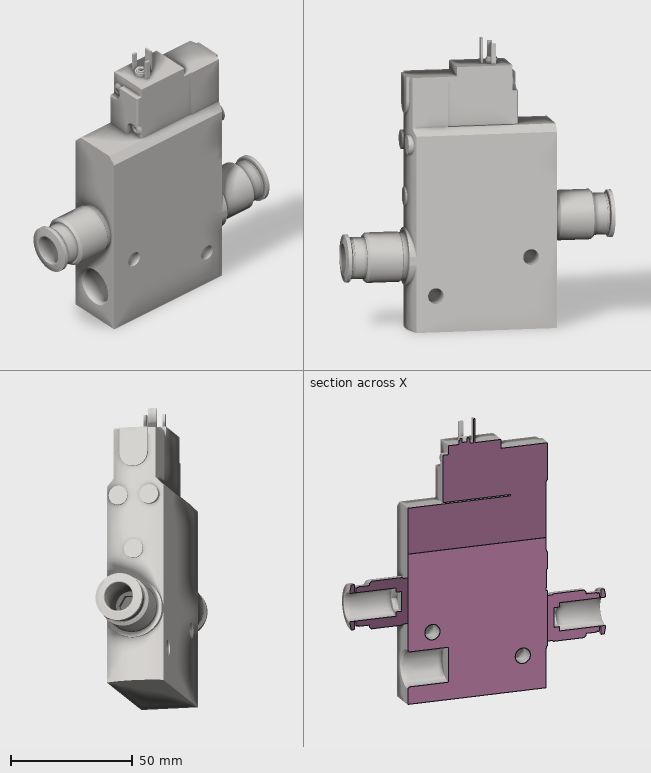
import cadquery as cq
import math


WIDTH = 24.0
BLOCK_TOP = 85.2
JOINT_HEIGHT = 65.3
SHOULDER_CHAMFER = 3.0
BACK_CORNER_Y = 59.2
BACK_CROWN_Y = 61.5
BACK_PAD_Y = 62.0

PORT_PITCH = 15.0
OPEN_PORT_Z = 15.2
BACK_PORT_Z = OPEN_PORT_Z + PORT_PITCH
FRONT_PORT_Z = BACK_PORT_Z + PORT_PITCH
PORT_BORE = 15.0
PORT_MOUTH = 16.6
PORT_DEPTH = 18.1
MOUNT_HOLE = 6.5
MOUNT_HOLES_YZ = [(11.0, BACK_PORT_Z), (51.0, OPEN_PORT_Z)]

BOSS_DIAMETER = 24.2
DISC_DIAMETER = 8.0
LOWER_DISC_Z = 55.3
UPPER_DISC_Z = 78.0
UPPER_DISC_X = 6.5
TAB_WIDTH = 11.8
PAD_ROOT_Y = 57.8

PILOT_TOP = 106.3
PILOT_FRONT_Y = 45.3
PILOT_WIDTH = WIDTH - 2 * SHOULDER_CHAMFER
SOLENOID_WIDTH = 17.4
SOLENOID_GAP = 0.4
SOLENOID_BOTTOM = BLOCK_TOP + SOLENOID_GAP
SOLENOID_MIDDLE = (SOLENOID_BOTTOM + PILOT_TOP) / 2
SOLENOID_BACK_Y = 41.3
SOLENOID_FRONT_Y = 18.1
SOLENOID_TOP = 110.1
PLATE_FRONT_Y = 15.5
PLATE_CHAMFER = 0.6

SCREW_X = 5.7
SCREW_RISE = 6.7
SCREW_RECESS = 6.5
SCREW_HEAD = 5.9
SCREW_HEAD_HEIGHT = 1.0
SCREW_TOP = 2.5
SCREW_SOCKET = 2.0
SCREW_SOCKET_DEPTH = 0.5
DOME_MIDDLE_RADIUS = 2.4
DOME_MIDDLE_HEIGHT = 0.6

OVERALL_HEIGHT = 120.5
CONTACT_TOP = 118.6
CONTACT_X = 4.0
CONTACT_THICKNESS = 1.1
CONTACT_WIDTH = 1.9
CONTACT_Y = 25.2
EARTH_PIN_WIDTH = 3.5
EARTH_PIN_THICKNESS = 0.8
EARTH_PIN_Y = 29.4
POST_COLLAR = 5.1
POST_COLLAR_TOP = 112.0
POST_RING = 4.1
POST_TOP = 112.7
POST_BORE = 2.0
POST_BORE_MOUTH = 2.5
POST_BORE_DEPTH = 1.8

FITTING_LENGTH = 25.7
NECK_DIAMETER = 20.0
NECK_LENGTH = 1.9
SLEEVE_DIAMETER = 20.8
SLEEVE_END = 17.0
SLEEVE_END_DIAMETER = 18.9
SLEEVE_BEVEL = (SLEEVE_DIAMETER - SLEEVE_END_DIAMETER) / 2
COLLET_DIAMETER = 17.4
COLLET_END = 22.9
SERRATION_DIAMETER = 16.6
SERRATION_WIDTH = 0.2
SERRATION_COUNT = 2
GROOVE_DIAMETER = 13.4
RELEASE_RING_DIAMETER = 19.8
RELEASE_RING_START = 23.5
RELEASE_RING_RIM = 25.1
RELEASE_RING_FACE = 13.4
TUBE_MOUTH = 12.5
TUBE_BORE = 12
TUBE_DEPTH = 20.5
HEX_ACROSS_FLATS = 8.3
HEX_DEPTH = 2.4


def box(x_range, y_range, z_range):
    """A box between the given limits along each axis."""
    sizes = [high - low for low, high in (x_range, y_range, z_range)]
    corner = cq.Vector(x_range[0], y_range[0], z_range[0])
    return cq.Workplane(cq.Solid.makeBox(*sizes, corner))


def centred_box(width, y_range, z_range):
    return box((-width / 2, width / 2), y_range, z_range)


def y_cylinder(diameter, x, z, y_start, y_end):
    """A cylinder along +Y from y_start to y_end."""
    base = cq.Vector(x, y_start, z)
    return cq.Workplane(cq.Solid.makeCylinder(diameter / 2, y_end - y_start, base, cq.Vector(0, 1, 0)))


def bulged_prism(bottom, top):
    """The block's plan, straight at the front and bulged at the back, raised from bottom to top."""
    half = WIDTH / 2
    return (
        cq.Workplane("XY", origin=(0, 0, bottom))
        .moveTo(-half, 0)
        .lineTo(half, 0)
        .lineTo(half, BACK_CORNER_Y)
        .threePointArc((0, BACK_CROWN_Y), (-half, BACK_CORNER_Y))
        .close()
        .extrude(top - bottom)
    )


def open_port():
    """Blind bore in the front face with a 45 degree mouth."""
    mouth_depth = (PORT_MOUTH - PORT_BORE) / 2
    mouth = cq.Solid.makeCone(
        PORT_MOUTH / 2, PORT_BORE / 2, mouth_depth, cq.Vector(0, 0, OPEN_PORT_Z), cq.Vector(0, 1, 0)
    )
    return y_cylinder(PORT_BORE, 0, OPEN_PORT_Z, 0, PORT_DEPTH).union(cq.Workplane(mouth))


def make_housing():
    housing = bulged_prism(0, JOINT_HEIGHT)

    side_limits = centred_box(WIDTH, (0, BACK_PAD_Y), (0, JOINT_HEIGHT))
    boss = y_cylinder(BOSS_DIAMETER, 0, BACK_PORT_Z, PAD_ROOT_Y, BACK_PAD_Y).intersect(side_limits)
    disc = y_cylinder(DISC_DIAMETER, 0, LOWER_DISC_Z, PAD_ROOT_Y, BACK_PAD_Y)
    housing = housing.union(boss).union(disc)

    housing = housing.cut(open_port())
    for y, z in MOUNT_HOLES_YZ:
        hole = cq.Workplane("YZ").center(y, z).circle(MOUNT_HOLE / 2).extrude(WIDTH / 2, both=True)
        housing = housing.cut(hole)
    return housing


def make_head_block():
    """Upper part of the valve block with the pilot block and the pads on its back."""
    block = bulged_prism(JOINT_HEIGHT, BLOCK_TOP).edges("|Y and >Z").chamfer(SHOULDER_CHAMFER)
    pilot = bulged_prism(JOINT_HEIGHT, PILOT_TOP).intersect(
        centred_box(PILOT_WIDTH, (PILOT_FRONT_Y, BACK_PAD_Y), (JOINT_HEIGHT, PILOT_TOP))
    )
    tab = centred_box(TAB_WIDTH, (PAD_ROOT_Y, BACK_PAD_Y), (SOLENOID_MIDDLE, PILOT_TOP))
    tab = tab.union(y_cylinder(TAB_WIDTH, 0, SOLENOID_MIDDLE, PAD_ROOT_Y, BACK_PAD_Y))
    block = block.union(pilot).union(tab)
    for x in (-UPPER_DISC_X, UPPER_DISC_X):
        block = block.union(y_cylinder(DISC_DIAMETER, x, UPPER_DISC_Z, PAD_ROOT_Y, BACK_PAD_Y))
    return block


def screw_recess():
    """Upper left corner cut of the front plate, rounded around the screw."""
    radius = SCREW_RECESS / 2
    screw_z = SOLENOID_MIDDLE + SCREW_RISE
    depth = (PLATE_FRONT_Y, SOLENOID_FRONT_Y)
    beside = box((-SOLENOID_WIDTH / 2, -SCREW_X), depth, (screw_z - radius, PILOT_TOP))
    above = box((-SCREW_X, radius - SCREW_X), depth, (screw_z, PILOT_TOP))
    return beside.union(above).union(y_cylinder(SCREW_RECESS, -SCREW_X, screw_z, *depth))


def screw_head():
    """Domed head with a round socket, standing on the floor of the recess."""
    profile = (
        cq.Workplane("XY")
        .moveTo(0, 0)
        .lineTo(SCREW_HEAD / 2, 0)
        .threePointArc((DOME_MIDDLE_RADIUS, -DOME_MIDDLE_HEIGHT), (SCREW_TOP / 2, -SCREW_HEAD_HEIGHT))
        .lineTo(0, -SCREW_HEAD_HEIGHT)
        .close()
    )
    head = profile.revolve(360, (0, 0, 0), (0, 1, 0))
    socket = y_cylinder(SCREW_SOCKET, 0, 0, -SCREW_HEAD_HEIGHT, SCREW_SOCKET_DEPTH - SCREW_HEAD_HEIGHT)
    return head.cut(socket).translate((-SCREW_X, SOLENOID_FRONT_Y, SOLENOID_MIDDLE + SCREW_RISE))


def make_solenoid():
    """Solenoid with its raised connector top and its screwed front plate."""
    coil_z = (SOLENOID_BOTTOM, PILOT_TOP)
    plate = centred_box(SOLENOID_WIDTH, (PLATE_FRONT_Y, SOLENOID_FRONT_Y), coil_z)
    plate = plate.edges("|Z and <Y").chamfer(PLATE_CHAMFER)
    coil = centred_box(SOLENOID_WIDTH, (SOLENOID_FRONT_Y, PILOT_FRONT_Y), coil_z)
    connector_z = (SOLENOID_BOTTOM, SOLENOID_TOP)
    connector_top = centred_box(SOLENOID_WIDTH, (SOLENOID_FRONT_Y, SOLENOID_BACK_Y), connector_z)
    solenoid = coil.union(plate).union(connector_top)

    axis = ((0, 0, SOLENOID_MIDDLE), (0, 1, SOLENOID_MIDDLE))
    for turn in (0, 180):
        solenoid = solenoid.cut(screw_recess().rotate(*axis, turn))
        solenoid = solenoid.union(screw_head().rotate(*axis, turn))
    return solenoid


def upright_pin(x, y, x_size, y_size, top):
    return box(
        (x - x_size / 2, x + x_size / 2), (y - y_size / 2, y + y_size / 2), (SOLENOID_TOP, top)
    )


def make_connector():
    """Two contacts, the earth pin and the bored post on top of the solenoid."""
    post = (
        cq.Workplane("XY", origin=(0, CONTACT_Y, SOLENOID_TOP))
        .circle(POST_COLLAR / 2)
        .extrude(POST_COLLAR_TOP - SOLENOID_TOP)
        .faces(">Z")
        .workplane()
        .circle(POST_RING / 2)
        .extrude(POST_TOP - POST_COLLAR_TOP)
        .faces(">Z")
        .workplane()
        .hole(POST_BORE, POST_BORE_DEPTH)
        .faces(">Z")
        .edges(cq.selectors.RadiusNthSelector(0))
        .chamfer((POST_BORE_MOUTH - POST_BORE) / 2)
    )
    earth_pin = upright_pin(0, EARTH_PIN_Y, EARTH_PIN_WIDTH, EARTH_PIN_THICKNESS, OVERALL_HEIGHT)
    contacts = [
        upright_pin(x, CONTACT_Y, CONTACT_THICKNESS, CONTACT_WIDTH, CONTACT_TOP)
        for x in (-CONTACT_X, CONTACT_X)
    ]
    return [post, earth_pin, *contacts]


def make_head():
    head = make_head_block().union(make_solenoid())
    for piece in make_connector():
        head = head.union(piece)
    return head


def make_fitting():
    """Push-in fitting standing on Y = 0 and pointing along +Y."""
    neck_bevel = (SLEEVE_DIAMETER - NECK_DIAMETER) / 2
    tube_bevel = (TUBE_MOUTH - TUBE_BORE) / 2
    outline = [
        (0, 0),
        (NECK_DIAMETER / 2, 0),
        (NECK_DIAMETER / 2, NECK_LENGTH),
        (SLEEVE_DIAMETER / 2, NECK_LENGTH + neck_bevel),
        (SLEEVE_DIAMETER / 2, SLEEVE_END - SLEEVE_BEVEL),
        (SLEEVE_END_DIAMETER / 2, SLEEVE_END),
        (COLLET_DIAMETER / 2, SLEEVE_END),
        (COLLET_DIAMETER / 2, COLLET_END),
        (GROOVE_DIAMETER / 2, COLLET_END),
        (GROOVE_DIAMETER / 2, RELEASE_RING_START),
        (RELEASE_RING_DIAMETER / 2, RELEASE_RING_START),
        (RELEASE_RING_DIAMETER / 2, RELEASE_RING_RIM),
        (RELEASE_RING_FACE / 2, FITTING_LENGTH),
        (TUBE_MOUTH / 2, FITTING_LENGTH),
        (TUBE_BORE / 2, FITTING_LENGTH - tube_bevel),
        (TUBE_BORE / 2, FITTING_LENGTH - TUBE_DEPTH),
        (0, FITTING_LENGTH - TUBE_DEPTH),
    ]
    body = cq.Workplane("XY").polyline(outline).close().revolve(360, (0, 0, 0), (0, 1, 0))
    hex_across_corners = HEX_ACROSS_FLATS / math.cos(math.pi / 6)
    hex_socket = (
        cq.Workplane("XZ", origin=(0, FITTING_LENGTH - TUBE_DEPTH, 0))
        .polygon(6, hex_across_corners)
        .extrude(HEX_DEPTH)
    )
    fitting = body.cut(hex_socket)

    for index in range(SERRATION_COUNT):
        groove_end = COLLET_END - (2 * index + 1) * SERRATION_WIDTH
        groove_start = groove_end - SERRATION_WIDTH
        ring = y_cylinder(SLEEVE_DIAMETER, 0, 0, groove_start, groove_end)
        ring = ring.cut(y_cylinder(SERRATION_DIAMETER, 0, 0, groove_start, groove_end))
        fitting = fitting.cut(ring)
    return fitting


housing = make_housing()
head = make_head()

fittings = []
for turn, y, z in [(180, 0, FRONT_PORT_Z), (0, BACK_PAD_Y, BACK_PORT_Z)]:
    fittings.append(make_fitting().rotate((0, 0, 0), (0, 0, 1), turn).translate((0, y, z)))

result = cq.Compound.makeCompound([housing.val(), head.val(), *[fitting.val() for fitting in fittings]])